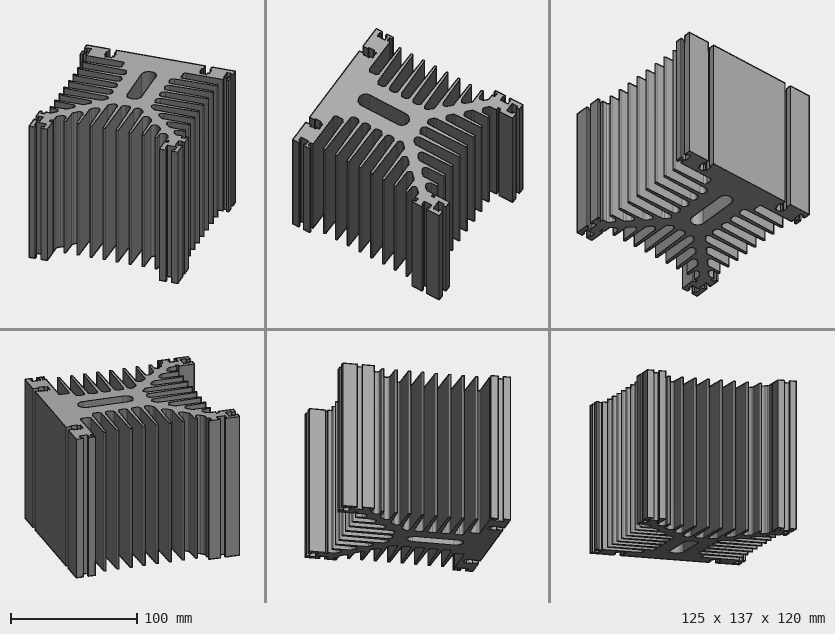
import cadquery as cq
import math

WIDTH = 125.0
DEPTH = 137.0
LENGTH = 120.0
HALF_WIDTH = WIDTH / 2

PLATE_THICKNESS = 16.0
PLATE_BOTTOM = DEPTH - PLATE_THICKNESS
FOOT_WIDTH = 15.3
FOOT_TOP = 25.6
FOOT_INNER_X = -HALF_WIDTH + FOOT_WIDTH

SIDE_SLOT_DEPTH = 5.5
SIDE_LIP = 1.9
SIDE_OPENING = 4.1
SIDE_POCKET = 6.8
PLATE_SLOT_Y = 129.0
FOOT_SLOT_Y = 14.0

CORNER_GROOVE_WIDTH = 3.0
GROOVE_DEPTH = 2.6
FOOT_GROOVE_HEIGHT = 2.2

END_SLOT_X = -HALF_WIDTH + 7.5
END_SLOT_OPENING = 4.8
END_SLOT_POCKET = 8.0
END_SLOT_LIP = 2.9
END_SLOT_DEPTH = 7.8

FACE_SLOT_X = -HALF_WIDTH + 22.5
FACE_SLOT_WIDTH = 5.5
FACE_SLOT_DEPTH = 12.3
FACE_STEP_WIDTH = 8.0
FACE_STEP_START = 4.8
FACE_STEP_END = 9.9

CORE_SLOT_WIDTH = 11.9
CORE_SLOT_TOP = 113.7
CORE_SLOT_BOTTOM = 68.1

FIN_PITCH = 11.0
FIN_TIP = 1.9
FIN_ROOT = 3.4
FIN_TIP_ROUND = 0.93

SIDE_FIN_COUNT = 8
FIRST_FIN_Y = 110.8
SIDE_TIP_X = -HALF_WIDTH + SIDE_SLOT_DEPTH
SIDE_ROOT_X = -18.2
SIDE_ROUND = 3.0
FIRST_ROOT_X = -25.0
FIRST_ROOT_ROUND = 2.0

LOWER_FIN_COUNT = 4
LOWER_TIP_Y = 16.3
LOWER_ROOT_Y = 56.2
LOWER_ROUND = 3.0

OVERSHOOT = 6.8

ARM_TOP_Y = 68.5
ARM_ROUND = 2.6
ARM_UPPER_X = -52.5
ARM_UPPER_SLOPE = math.tan(math.radians(46.5))
ARM_LOWER_Y = 21.4
ARM_LOWER_SLOPE = math.tan(math.radians(43.8))

side_fins = [FIRST_FIN_Y - FIN_PITCH * i for i in range(SIDE_FIN_COUNT)]
lower_fins = [-FIN_PITCH * (i + 0.5) for i in range(LOWER_FIN_COUNT)]


def prism(points):
    """Full-length solid with the given corners."""
    return cq.Workplane("XY").polyline(points).close().extrude(LENGTH)


def block(x_min, x_max, y_min, y_max):
    return prism([(x_min, y_min), (x_max, y_min), (x_max, y_max), (x_min, y_max)])


def rounded(points, radius):
    """Full-length solid with all its long edges rounded."""
    return prism(points).edges("|Z").fillet(radius)


def half_fin(distance, fin_length):
    """Half thickness of a fin at a distance from its tip."""
    return (FIN_TIP + (FIN_ROOT - FIN_TIP) * distance / fin_length) / 2


def side_half(x):
    """Half thickness of a side fin at X."""
    return half_fin(x - SIDE_TIP_X, SIDE_ROOT_X - SIDE_TIP_X)


def lower_half(y):
    """Half thickness of a lower fin at Y."""
    return half_fin(y - LOWER_TIP_Y, LOWER_ROOT_Y - LOWER_TIP_Y)


def arm_upper_x(y):
    """X of the upper arm face at a height Y of the profile."""
    return ARM_UPPER_X + (y - FOOT_TOP) / ARM_UPPER_SLOPE


def arm_lower_y(x):
    """Y of the lower arm face at a position X."""
    return ARM_LOWER_Y + (x - FOOT_INNER_X) * ARM_LOWER_SLOPE


def half_outline():
    """The -X half of the profile before gaps and slots are cut."""
    return prism([
        (0, DEPTH), (-HALF_WIDTH, DEPTH), (-HALF_WIDTH, PLATE_BOTTOM), (SIDE_TIP_X, PLATE_BOTTOM),
        (SIDE_TIP_X, FOOT_TOP), (-HALF_WIDTH, FOOT_TOP), (-HALF_WIDTH, 0), (FOOT_INNER_X, 0),
        (FOOT_INNER_X, LOWER_TIP_Y), (0, LOWER_TIP_Y),
    ])


def first_gap():
    """Wide gap between the plate and the first side fin."""
    outer = SIDE_TIP_X - OVERSHOOT
    return rounded([
        (outer, PLATE_BOTTOM),
        (FIRST_ROOT_X, PLATE_BOTTOM),
        (FIRST_ROOT_X, side_fins[0] + side_half(FIRST_ROOT_X)),
        (outer, side_fins[0] + side_half(outer)),
    ], FIRST_ROOT_ROUND)


def core_gap(upper, lower):
    """Gap between two side fins that ends square to the core."""
    outer = SIDE_TIP_X - OVERSHOOT
    return rounded([
        (outer, upper - side_half(outer)),
        (SIDE_ROOT_X, upper - side_half(SIDE_ROOT_X)),
        (SIDE_ROOT_X, lower + side_half(SIDE_ROOT_X)),
        (outer, lower + side_half(outer)),
    ], SIDE_ROUND)


def arm_gap(upper, floor_root, floor_tip):
    """Gap below a side fin that ends on the upper face of the arm."""
    outer = SIDE_TIP_X - OVERSHOOT
    roof_x = arm_upper_x(upper)
    roof_y = upper - side_half(roof_x)
    return rounded([
        (outer, upper - side_half(outer)),
        (arm_upper_x(roof_y), roof_y),
        (arm_upper_x(floor_root), floor_root),
        (outer, floor_tip),
    ], ARM_ROUND)


def side_gaps():
    outer = SIDE_TIP_X - OVERSHOOT
    gaps = [first_gap()]
    for upper, lower in zip(side_fins, side_fins[1:]):
        if upper > ARM_TOP_Y:
            gaps.append(core_gap(upper, lower))
        else:
            root = lower + side_half(arm_upper_x(lower))
            gaps.append(arm_gap(upper, root, lower + side_half(outer)))
    gaps.append(arm_gap(side_fins[-1], FOOT_TOP, FOOT_TOP))
    return gaps


def lower_gap(right, wall_root, wall_tip):
    """Gap left of a lower fin that ends on the lower face of the arm."""
    outer = LOWER_TIP_Y - OVERSHOOT
    peak_y = arm_lower_y(right)
    peak_x = right - lower_half(peak_y)
    return rounded([
        (right - lower_half(outer), outer),
        (peak_x, arm_lower_y(peak_x)),
        (wall_root, arm_lower_y(wall_root)),
        (wall_tip, outer),
    ], LOWER_ROUND)


def lower_gaps():
    outer = LOWER_TIP_Y - OVERSHOOT
    gaps = []
    for right, left in zip(lower_fins, lower_fins[1:]):
        root = left + lower_half(arm_lower_y(left))
        gaps.append(lower_gap(right, root, left + lower_half(outer)))
    gaps.append(lower_gap(lower_fins[-1], FOOT_INNER_X, FOOT_INNER_X))
    return gaps


def centre_gap():
    """Gap between the two middle lower fins."""
    outer = LOWER_TIP_Y - OVERSHOOT
    root = lower_fins[0] + lower_half(LOWER_ROOT_Y)
    tip = lower_fins[0] + lower_half(outer)
    return rounded([(tip, outer), (root, LOWER_ROOT_Y), (-root, LOWER_ROOT_Y), (-tip, outer)], LOWER_ROUND)


def side_slot(y):
    """T-slot open to the outer side."""
    lip_x = -HALF_WIDTH + SIDE_LIP
    opening = block(-HALF_WIDTH, lip_x, y - SIDE_OPENING / 2, y + SIDE_OPENING / 2)
    pocket = block(lip_x, SIDE_TIP_X, y - SIDE_POCKET / 2, y + SIDE_POCKET / 2)
    return opening.union(pocket)


def corner_groove(y_min):
    """Groove beside the outer lip, open towards the side fins."""
    x_min = -HALF_WIDTH + SIDE_LIP
    return block(x_min, x_min + CORNER_GROOVE_WIDTH, y_min, y_min + GROOVE_DEPTH)


def foot_groove():
    """Shallow groove in the inner side of the foot."""
    half = FOOT_GROOVE_HEIGHT / 2
    return block(FOOT_INNER_X - GROOVE_DEPTH, FOOT_INNER_X, FOOT_SLOT_Y - half, FOOT_SLOT_Y + half)


def end_slot():
    """T-slot open to the end of the foot."""
    opening, pocket = END_SLOT_OPENING / 2, END_SLOT_POCKET / 2
    neck = block(END_SLOT_X - opening, END_SLOT_X + opening, 0, END_SLOT_LIP)
    return neck.union(block(END_SLOT_X - pocket, END_SLOT_X + pocket, END_SLOT_LIP, END_SLOT_DEPTH))


def face_slot():
    """Slot in the plate face, wider over its middle stretch."""
    half, step = FACE_SLOT_WIDTH / 2, FACE_STEP_WIDTH / 2
    channel = block(FACE_SLOT_X - half, FACE_SLOT_X + half, DEPTH - FACE_SLOT_DEPTH, DEPTH)
    return channel.union(block(
        FACE_SLOT_X - step, FACE_SLOT_X + step, DEPTH - FACE_STEP_END, DEPTH - FACE_STEP_START,
    ))


def core_slot():
    """Opening with round ends on the symmetry plane."""
    middle = (CORE_SLOT_TOP + CORE_SLOT_BOTTOM) / 2
    return (
        cq.Workplane("XY").center(0, middle)
        .slot2D(CORE_SLOT_TOP - CORE_SLOT_BOTTOM, CORE_SLOT_WIDTH, 90).extrude(LENGTH)
    )


def fin_tip_edges(body):
    """Long edges at the tips of the fins, found by their corner positions."""
    corners = [(SIDE_TIP_X, y + side * FIN_TIP / 2) for y in side_fins for side in (-1, 1)]
    corners += [(x + side * FIN_TIP / 2, LOWER_TIP_Y) for x in lower_fins for side in (-1, 1)]
    middles = [cq.Vector(x, y, LENGTH / 2) for x, y in corners]
    upright = body.edges("|Z")
    return upright.filter(lambda edge: min((edge.Center() - m).Length for m in middles) < FIN_TIP / 4)


half = half_outline()
for gap in side_gaps() + lower_gaps():
    half = half.cut(gap)
half = half.cut(side_slot(PLATE_SLOT_Y)).cut(side_slot(FOOT_SLOT_Y))
half = half.cut(corner_groove(PLATE_BOTTOM)).cut(corner_groove(FOOT_TOP - GROOVE_DEPTH))
half = half.cut(foot_groove()).cut(end_slot()).cut(face_slot())
half = half.cut(centre_gap()).cut(core_slot())
half = fin_tip_edges(half).fillet(FIN_TIP_ROUND)
result = half.union(half.mirror("YZ")).clean()